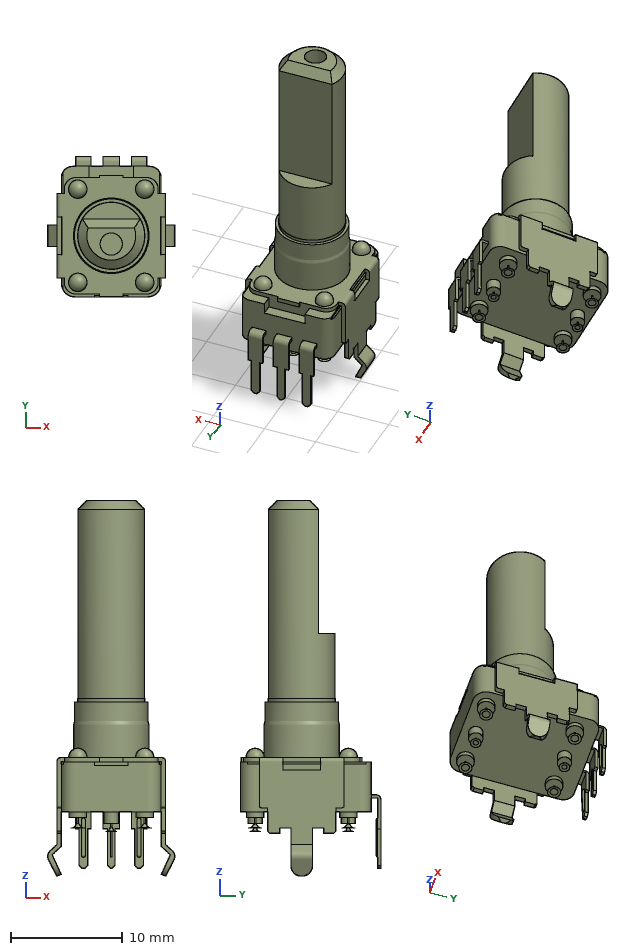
import cadquery as cq


housing_height = 4.5
housing_half_width = 4.5
housing_front = -5.5
housing_back = 6.25
front_corner_radius = 1.25
back_corner_radius = 1.05
ledge_width = 0.17
ledge_depth = 0.2
back_notch_width = 4.0
back_notch_depth = 1.0
front_notch_width = 3.0
front_notch_height = 0.3
front_notch_depth = 0.15

plate_top = 4.9
plate_half_width = 4.22
plate_half_depth = 5.25
plate_corner_radius = 1.05
tab_width = 2.13
tab_half_reach = 5.45
arm_half_width = 4.9
arm_thickness = plate_top - housing_height
arm_inner = arm_half_width - arm_thickness
arm_half_depth = 3.82
arm_shoulder = 0.37
shoulder_radius = 0.2
skirt_half_depth = 3.08
skirt_bottom = -1.93
skirt_notch_outer = 1.95
skirt_notch_top = -1.45
skirt_chamfer = 0.2
window_half_depth = 1.7
window_bottom = 3.8
window_half_width = 4.43

leg_half_depth = 0.98
leg_tip_radius = 0.95
leg_bottom = -5.78
knee_height = -2.95
knee_drop = 0.17
leg_peak = 5.88
leg_peak_height = -3.85
leg_peak_radius = 0.68
leg_peak_inner = 5.3
leg_tip_rise = 0.17

overall_height = 33.8
shaft_top = leg_bottom + overall_height
shaft_diameter = 6.0
shaft_neck_diameter = 6.05
shaft_neck_top = 10.2
shaft_chamfer = 0.8
flat_offset = 1.52
flat_bottom = 16.05
bore_diameter = 2.0
bore_offset = -0.75
bore_depth = 2.03
lower_bushing_diameter = 6.8
lower_bushing_top = 7.85
upper_bushing_diameter = 6.62
upper_bushing_bottom = 8.15
upper_bushing_top = 9.9

rivet_x = 3.0
rivet_y = 4.2
dome_diameter = 1.65
collar_diameter = 1.6
collar_bottom = -0.5
rivet_foot_diameter = 1.18
rivet_foot_bottom = -1.45
pin_diameter = 1.3
pin_bottom = -1.05
pin_foot_diameter = 0.95
pin_foot_bottom = -1.75
foot_neck_diameter = 0.15
foot_cone_height = 0.4
foot_rim_width = 0.25
foot_rim_height = 0.05

terminal_pitch = 2.5
terminal_back = 7.13
terminal_thickness = 0.3
terminal_top = 1.55
terminal_bend_radius = 0.47
terminal_shoulder = -1.52
terminal_bottom = -5.07
terminal_tip_chamfer = 0.27
terminal_root = 5.75
rib_bottom = -4.1
rib_inset = 0.05

middle_shoulder_width = 1.5
middle_blade_width = 0.7
middle_rib_diameter = 0.2
middle_rib_top = -0.85

outer_shoulder_width = 1.4
outer_blade_width = 0.8
outer_rib_diameter = 0.37
outer_rib_top = -0.55


def box(x0, x1, y0, y1, z0, z1):
    return cq.Workplane("XY").box(x1 - x0, y1 - y0, z1 - z0, centered=False).translate((x0, y0, z0))


def cylinder(x, y, diameter, z0, z1):
    return cq.Workplane("XY", origin=(x, y, z0)).circle(diameter / 2).extrude(z1 - z0)


def both_sides(shape):
    """Join a shape with its mirror image across the YZ plane."""
    return shape.union(shape.mirror("YZ"))


def make_housing():
    body = box(-housing_half_width, housing_half_width, housing_front, housing_back, 0, housing_height)
    body = body.edges("|Z and <Y").fillet(front_corner_radius)
    body = body.edges("|Z and >Y").fillet(back_corner_radius)
    ledge = box(-housing_half_width, ledge_width - housing_half_width, housing_front, housing_back,
                housing_height - ledge_depth, housing_height)
    back_notch = box(-back_notch_width / 2, back_notch_width / 2, plate_half_depth, housing_back,
                     housing_height - back_notch_depth, housing_height)
    front_notch = box(-front_notch_width / 2, front_notch_width / 2, housing_front,
                      housing_front + front_notch_depth, housing_height - front_notch_height, housing_height)
    return body.cut(both_sides(ledge)).cut(back_notch).cut(front_notch)


def make_arm():
    """Left arm: the folded profile trimmed to the outline of the skirt and leg."""
    profile = (
        cq.Workplane("XZ", origin=(0, arm_half_depth, 0))
        .moveTo(-plate_half_width, plate_top)
        .lineTo(-arm_inner, plate_top)
        .radiusArc((-arm_half_width, housing_height), -arm_thickness)
        .lineTo(-arm_half_width, knee_height)
        .lineTo(-leg_peak, leg_peak_height)
        .lineTo(-arm_half_width, leg_bottom)
        .lineTo(-arm_inner, leg_bottom + leg_tip_rise)
        .lineTo(-leg_peak_inner, leg_peak_height)
        .lineTo(-arm_inner, knee_height - knee_drop)
        .lineTo(-arm_inner, housing_height)
        .lineTo(-plate_half_width, housing_height)
        .close()
        .extrude(2 * arm_half_depth)
    )
    profile = profile.edges("<X").fillet(leg_peak_radius)

    def strip(half_depth, z0, z1):
        return box(-leg_peak, 0, -half_depth, half_depth, z0, z1)

    upper = strip(arm_half_depth, arm_shoulder, plate_top).edges("|X and <Z").fillet(shoulder_radius)
    skirt = strip(skirt_half_depth, skirt_bottom, plate_top).edges("|X and <Z").chamfer(skirt_chamfer)
    notches = strip(skirt_notch_outer, skirt_bottom, skirt_notch_top)
    leg = strip(leg_half_depth, leg_bottom, 0).edges("|X and <Z").fillet(leg_tip_radius)
    outline = upper.union(skirt).cut(notches).union(leg)
    return profile.intersect(outline)


def make_cover():
    plate = box(-plate_half_width, plate_half_width, -plate_half_depth, plate_half_depth,
                housing_height, plate_top)
    plate = plate.edges("|Z").fillet(plate_corner_radius)
    plate = plate.union(box(-tab_width / 2, tab_width / 2, -tab_half_reach, tab_half_reach,
                            housing_height, plate_top))
    window = box(-arm_half_width, -window_half_width, -window_half_depth, window_half_depth,
                 window_bottom, plate_top)
    return plate.union(both_sides(make_arm())).cut(both_sides(window))


def make_shaft():
    shaft = cylinder(0, 0, shaft_diameter, shaft_neck_top, shaft_top)
    shaft = shaft.cut(box(-shaft_diameter, shaft_diameter, flat_offset, shaft_diameter,
                          flat_bottom, shaft_top))
    shaft = shaft.faces(">Z").chamfer(shaft_chamfer)
    shaft = shaft.cut(cylinder(0, bore_offset, bore_diameter, shaft_top - bore_depth, shaft_top))
    return shaft.union(cylinder(0, 0, shaft_neck_diameter, plate_top, shaft_neck_top))


def make_bushing():
    lower_radius = lower_bushing_diameter / 2
    upper_radius = upper_bushing_diameter / 2
    return (
        cq.Workplane("XZ")
        .polyline([
            (0, housing_height),
            (lower_radius, housing_height),
            (lower_radius, lower_bushing_top),
            (upper_radius, upper_bushing_bottom),
            (upper_radius, upper_bushing_top),
            (0, upper_bushing_top),
        ])
        .close()
        .revolve()
    )


def make_foot(x, y, diameter, bottom):
    """Slender neck that flares through a small cone into a thin sharp-edged rim."""
    neck_radius = foot_neck_diameter / 2
    cone_radius = diameter / 2 - foot_rim_width
    return (
        cq.Workplane("XZ")
        .polyline([
            (0, 0),
            (neck_radius, 0),
            (neck_radius, bottom + foot_cone_height),
            (cone_radius, bottom + foot_rim_height),
            (diameter / 2, bottom),
            (0, bottom),
        ])
        .close()
        .revolve()
        .translate((x, y, 0))
    )


def make_rivet(x, y):
    dome = cq.Workplane("XY").sphere(dome_diameter / 2).translate((x, y, plate_top))
    collar = cylinder(x, y, collar_diameter, collar_bottom, plate_top)
    return dome.union(collar).union(make_foot(x, y, rivet_foot_diameter, rivet_foot_bottom))


def make_pin(y):
    pin = cylinder(0, y, pin_diameter, pin_bottom, housing_height)
    return pin.union(make_foot(0, y, pin_foot_diameter, pin_foot_bottom))


def make_rib(x, y, diameter, top):
    """Upright round rib with ball ends."""
    radius = diameter / 2
    low_center = rib_bottom + radius
    high_center = top - radius
    rib = cylinder(x, y, diameter, low_center, high_center)
    for z in (low_center, high_center):
        rib = rib.union(cq.Workplane("XY").sphere(radius).translate((x, y, z)))
    return rib


def make_terminal(x, shoulder_width, blade_width, rib_diameter, rib_top):
    front = terminal_back - terminal_thickness
    strip = (
        cq.Workplane("YZ", origin=(x - shoulder_width / 2, 0, 0))
        .polyline([
            (terminal_root, terminal_top),
            (terminal_back, terminal_top),
            (terminal_back, terminal_bottom),
            (front, terminal_bottom),
            (front, terminal_top - terminal_thickness),
            (terminal_root, terminal_top - terminal_thickness),
        ])
        .close()
        .extrude(shoulder_width)
        .edges("|X and >Y and >Z")
        .fillet(terminal_bend_radius)
    )
    shoulder = box(x - shoulder_width / 2, x + shoulder_width / 2, terminal_root, terminal_back,
                   terminal_shoulder, terminal_top)
    blade = box(x - blade_width / 2, x + blade_width / 2, terminal_root, terminal_back,
                terminal_bottom, terminal_top)
    blade = blade.edges("|Y and <Z").chamfer(terminal_tip_chamfer)
    rib = make_rib(x, front + rib_inset, rib_diameter, rib_top)
    return strip.intersect(shoulder.union(blade)).union(rib)


result = make_housing().union(make_cover()).union(make_bushing()).union(make_shaft())
for y in (-rivet_y, rivet_y):
    result = result.union(make_pin(y))
    for x in (-rivet_x, rivet_x):
        result = result.union(make_rivet(x, y))
result = result.union(make_terminal(0, middle_shoulder_width, middle_blade_width,
                                    middle_rib_diameter, middle_rib_top))
for x in (-terminal_pitch, terminal_pitch):
    result = result.union(make_terminal(x, outer_shoulder_width, outer_blade_width,
                                        outer_rib_diameter, outer_rib_top))